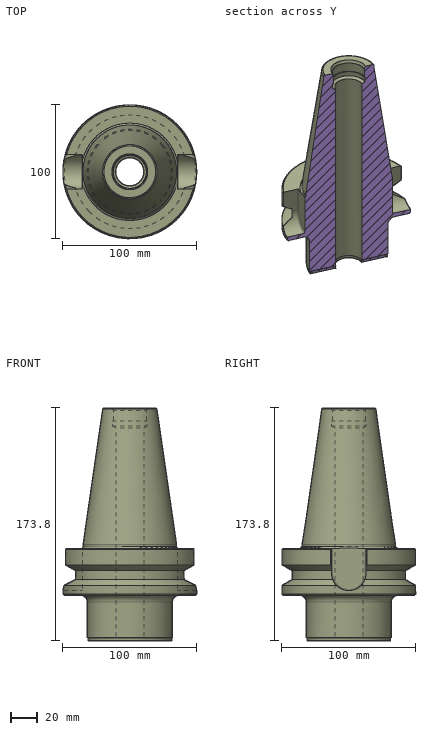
import cadquery as cq
import math

TOTAL_HEIGHT = 173.8

TAPER_BOTTOM_Z = 72.0
TAPER_BOTTOM_RADIUS = 35.0
TAPER_TOP_RADIUS = 20.2
TAPER_TOP_CHAMFER = 0.9
NECK_FILLET = 1.4

FLANGE_RADIUS = 100.0 / 2
FLANGE_TOP_Z = 69.0
FLANGE_BOTTOM_Z = 33.9
FLANGE_CHAMFER = 1.0

GROOVE_ROOT_RADIUS = 42.4
GROOVE_ROOT_BOTTOM_Z = 45.7
GROOVE_ROOT_TOP_Z = 52.3
GROOVE_FLANK_ANGLE = 30.0

NOSE_RADIUS = 31.8
NOSE_FILLET = 5.0
NOSE_CHAMFER = 0.5

SLOT_WIDTH = 25.7
SLOT_FLOOR_X = 35.5
SLOT_ROUND_CENTER_Z = 50.4
SLOT_FLOOR_FILLET = 0.7
SLOT_MOUTH_CHAMFER = 0.9

THROUGH_RADIUS = 10.5
PILOT_RADIUS = 12.3
MOUTH_RADIUS = 13.4
MOUTH_DEPTH = 2.0
UNDERCUT_RADIUS = 12.9
UNDERCUT_START_DEPTH = 9.7
UNDERCUT_END_DEPTH = 13.7
SEAT_DEPTH = 15.0

RING_HEIGHT = 2.0
RING_RADIUS = NOSE_RADIUS - NOSE_CHAMFER
RING_CHAMFER = 0.3


def revolve_about_z(profile):
    """Turn a closed (radius, z) profile once around the Z axis."""
    return profile.close().revolve(360, (0, 0, 0), (0, 1, 0))


def turned_blank():
    groove_depth = FLANGE_RADIUS - GROOVE_ROOT_RADIUS
    groove_flank_height = groove_depth * math.tan(math.radians(GROOVE_FLANK_ANGLE))
    taper_slope = (TAPER_BOTTOM_RADIUS - TAPER_TOP_RADIUS) / (TOTAL_HEIGHT - TAPER_BOTTOM_Z)
    chamfer_start_radius = TAPER_TOP_RADIUS + taper_slope * TAPER_TOP_CHAMFER
    arc_mid = 1 - math.sqrt(0.5)
    profile = (
        cq.Workplane("XZ")
        .moveTo(0, RING_HEIGHT)
        .lineTo(NOSE_RADIUS - NOSE_CHAMFER, RING_HEIGHT)
        .lineTo(NOSE_RADIUS, RING_HEIGHT + NOSE_CHAMFER)
        .lineTo(NOSE_RADIUS, FLANGE_BOTTOM_Z - NOSE_FILLET)
        .threePointArc(
            (NOSE_RADIUS + arc_mid * NOSE_FILLET, FLANGE_BOTTOM_Z - arc_mid * NOSE_FILLET),
            (NOSE_RADIUS + NOSE_FILLET, FLANGE_BOTTOM_Z),
        )
        .lineTo(FLANGE_RADIUS - FLANGE_CHAMFER, FLANGE_BOTTOM_Z)
        .lineTo(FLANGE_RADIUS, FLANGE_BOTTOM_Z + FLANGE_CHAMFER)
        .lineTo(FLANGE_RADIUS, GROOVE_ROOT_BOTTOM_Z - groove_flank_height)
        .lineTo(GROOVE_ROOT_RADIUS, GROOVE_ROOT_BOTTOM_Z)
        .lineTo(GROOVE_ROOT_RADIUS, GROOVE_ROOT_TOP_Z)
        .lineTo(FLANGE_RADIUS, GROOVE_ROOT_TOP_Z + groove_flank_height)
        .lineTo(FLANGE_RADIUS, FLANGE_TOP_Z - FLANGE_CHAMFER)
        .lineTo(FLANGE_RADIUS - FLANGE_CHAMFER, FLANGE_TOP_Z)
        .lineTo(TAPER_BOTTOM_RADIUS + NECK_FILLET, FLANGE_TOP_Z)
        .threePointArc(
            (TAPER_BOTTOM_RADIUS + arc_mid * NECK_FILLET, FLANGE_TOP_Z + arc_mid * NECK_FILLET),
            (TAPER_BOTTOM_RADIUS, FLANGE_TOP_Z + NECK_FILLET),
        )
        .lineTo(TAPER_BOTTOM_RADIUS, TAPER_BOTTOM_Z)
        .lineTo(chamfer_start_radius, TOTAL_HEIGHT - TAPER_TOP_CHAMFER)
        .lineTo(TAPER_TOP_RADIUS - TAPER_TOP_CHAMFER, TOTAL_HEIGHT)
        .lineTo(0, TOTAL_HEIGHT)
    )
    return revolve_about_z(profile)


def bore_cutter():
    profile = (
        cq.Workplane("XZ")
        .moveTo(0, 0)
        .lineTo(THROUGH_RADIUS, 0)
        .lineTo(THROUGH_RADIUS, TOTAL_HEIGHT - SEAT_DEPTH)
        .lineTo(UNDERCUT_RADIUS, TOTAL_HEIGHT - UNDERCUT_END_DEPTH)
        .lineTo(UNDERCUT_RADIUS, TOTAL_HEIGHT - UNDERCUT_START_DEPTH)
        .lineTo(PILOT_RADIUS, TOTAL_HEIGHT - UNDERCUT_START_DEPTH)
        .lineTo(PILOT_RADIUS, TOTAL_HEIGHT - MOUTH_DEPTH)
        .lineTo(MOUTH_RADIUS, TOTAL_HEIGHT)
        .lineTo(0, TOTAL_HEIGHT)
    )
    return revolve_about_z(profile)


def slot_cutter():
    """Round-bottomed slot on the +X side, open at the top and outside, with a filleted floor edge."""
    half_width = SLOT_WIDTH / 2
    top_z = TAPER_BOTTOM_Z
    length = FLANGE_RADIUS
    return (
        cq.Workplane("YZ", origin=(SLOT_FLOOR_X, 0, 0))
        .moveTo(-half_width, top_z)
        .lineTo(-half_width, SLOT_ROUND_CENTER_Z)
        .threePointArc((0, SLOT_ROUND_CENTER_Z - half_width), (half_width, SLOT_ROUND_CENTER_Z))
        .lineTo(half_width, top_z)
        .close()
        .extrude(length)
        .faces("<X")
        .edges("not >Z")
        .fillet(SLOT_FLOOR_FILLET)
    )


def slot_mouth_edges(body):
    """Vertical edges where the slot walls meet the upper rim of the flange."""
    half_width = SLOT_WIDTH / 2
    mouth_x = math.sqrt(FLANGE_RADIUS**2 - half_width**2)
    position_tolerance = 0.2
    vertical_edges = body.edges("|Z")
    return vertical_edges.filter(
        lambda edge: abs(abs(edge.Center().x) - mouth_x) < position_tolerance
        and edge.Center().z > GROOVE_ROOT_TOP_Z
    )


def make_holder():
    holder = turned_blank().cut(bore_cutter())
    for angle in (0, 180):
        holder = holder.cut(slot_cutter().rotate((0, 0, 0), (0, 0, 1), angle))
    return slot_mouth_edges(holder).chamfer(SLOT_MOUTH_CHAMFER)


def make_end_ring():
    return (
        cq.Workplane("XY")
        .circle(RING_RADIUS)
        .extrude(RING_HEIGHT)
        .faces("<Z")
        .chamfer(RING_CHAMFER)
        .cut(cq.Workplane("XY").circle(THROUGH_RADIUS).extrude(RING_HEIGHT))
    )


holder = make_holder()
end_ring = make_end_ring()

result = cq.Compound.makeCompound([holder.val(), end_ring.val()])